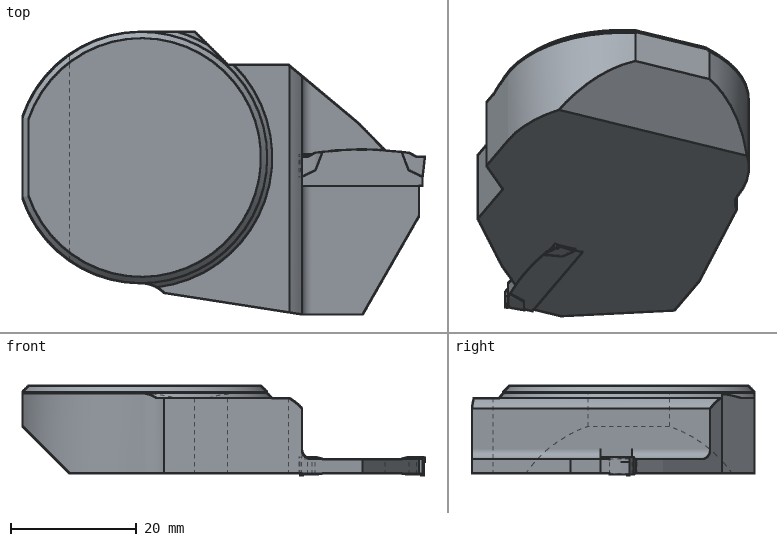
import cadquery as cq
import math


head_height = 14.0
head_radius = 20.0
rim_chamfer = 1.0
rim_land = 0.2
flare_width = 0.8
base_radius = 20.05
flat_x = -18.97
relief_height = 7.5

block_height = 12.0
block_face_x = 25.55
block_back_y = 14.8
edge_round_width = 2.0
edge_round_drop = 1.63
edge_round_radius = 8.0
front_y = -25.0
neck_radius = 5.0
neck_x = 3.6
back_corner_x = 23.35
shoulder_sum = 28.5

blade_thickness = 2.3
blade_fillet = 1.55
blade_end_x = 44.2
blade_end_y = -9.3
blade_front_x = 35.2
blade_kink = (34.5, 5.5)
blade_back_tip = (39.5, 0.4)
back_slope = (blade_kink[1] - block_back_y) / (blade_kink[0] - back_corner_x)
slanted_face_y = block_back_y + back_slope * (block_face_x - back_corner_x)

insert_center_x = 35.1
insert_half_length = 10.03
tip_clearance = 0.15
tip_edge_depth = 0.8
insert_body_half_length = insert_half_length - tip_clearance
insert_base_half_length = 9.65
insert_base_y = -4.5
insert_crown_y = 1.3
crown_end = (7.5, 0.75)
tip_start = 8.7
tip_y = 0.13
end_bend_y = -3.1
pad_rise = 0.33
pad_drop = 0.18
pad_start = 6.15
pad_ramp = 1.25
pad_inner_y = -2.0
land_width = 0.35
land_drop = 0.1
lip_drop = 0.33
lip_length = 0.5
lip_width = 0.4
seat_relief_x = 27.0
seat_relief_y = 0.5


def holder_outline():
    """Plan outline of the head and block, with a full base circle under the head."""
    neck_y = -base_radius - neck_radius + math.sqrt(neck_radius**2 - neck_x**2)
    half_angle = math.asin(neck_x / neck_radius) / 2
    neck_mid = (
        neck_radius * math.sin(half_angle),
        -base_radius - neck_radius * (1 - math.cos(half_angle)),
    )
    block = (
        cq.Workplane("XY")
        .moveTo(0, base_radius)
        .lineTo(shoulder_sum - base_radius, base_radius)
        .lineTo(shoulder_sum - block_back_y, block_back_y)
        .lineTo(block_face_x, block_back_y)
        .lineTo(block_face_x, front_y)
        .lineTo(neck_x, neck_y)
        .threePointArc(neck_mid, (0, -base_radius))
        .close()
        .extrude(head_height)
    )
    return block.union(cq.Workplane("XY").circle(base_radius).extrude(head_height))


def stepped_height():
    """Block-high slab with the chamfered, flared head standing on it."""
    land_top = head_height - rim_chamfer
    land_bottom = land_top - rim_land
    slab = (
        cq.Workplane("XZ")
        .moveTo(-2 * base_radius, 0)
        .lineTo(block_face_x, 0)
        .lineTo(block_face_x, block_height - edge_round_drop)
        .radiusArc((block_face_x - edge_round_width, block_height), -edge_round_radius)
        .lineTo(-2 * base_radius, block_height)
        .close()
        .extrude(2 * base_radius, both=True)
    )
    head = (
        cq.Workplane("XZ")
        .moveTo(0, 0)
        .lineTo(head_radius, 0)
        .lineTo(head_radius + flare_width, land_bottom - flare_width)
        .lineTo(head_radius, land_bottom)
        .lineTo(head_radius, land_top)
        .lineTo(head_radius - rim_chamfer, head_height)
        .lineTo(0, head_height)
        .close()
        .revolve(360, (0, 0, 0), (0, 1, 0))
    )
    return slab.union(head)


def blade():
    """Thin plate in front of the block, with a fillet running up the block face."""
    plate_outline = [
        (block_face_x, front_y),
        (blade_front_x, front_y),
        (blade_end_x, blade_end_y),
        (blade_end_x, insert_base_y),
        blade_back_tip,
        blade_kink,
        (block_face_x, slanted_face_y),
    ]
    section = (
        cq.Workplane("XZ")
        .moveTo(block_face_x, 0)
        .lineTo(blade_end_x, 0)
        .lineTo(blade_end_x, blade_thickness)
        .lineTo(block_face_x + blade_fillet, blade_thickness)
        .radiusArc((block_face_x, blade_thickness + blade_fillet), blade_fillet)
        .close()
        .extrude(-front_y, both=True)
    )
    return section.intersect(cq.Workplane("XY").polyline(plate_outline).close().extrude(block_height))


def back_corner_cut():
    """Wedge that carries the slanted back edge of the blade up through the block."""
    corners = [
        (back_corner_x, block_back_y),
        (block_face_x, slanted_face_y),
        (block_face_x, block_back_y),
    ]
    return cq.Workplane("XY").polyline(corners).close().extrude(block_height)


def head_flat_cut():
    """Vertical flat on the head and the 45 degree relief below it."""
    flat_edge_z = head_height - rim_chamfer
    outer_x = -2 * base_radius
    return (
        cq.Workplane("XZ")
        .moveTo(flat_x + relief_height, 0)
        .lineTo(flat_x, relief_height)
        .lineTo(flat_x, flat_edge_z)
        .lineTo(flat_x + rim_chamfer, head_height)
        .lineTo(outer_x, head_height)
        .lineTo(outer_x, 0)
        .close()
        .extrude(2 * base_radius, both=True)
    )


def insert_prism(bottom, top, half_length):
    """Prism on the insert's plan outline, with an arched back edge and tapered ends."""

    def at(offset, y):
        return (insert_center_x + offset, y)

    return (
        cq.Workplane("XY", origin=(0, 0, bottom))
        .moveTo(*at(-insert_base_half_length, insert_base_y))
        .lineTo(*at(insert_base_half_length, insert_base_y))
        .lineTo(*at(insert_base_half_length, end_bend_y))
        .lineTo(*at(half_length, tip_y))
        .lineTo(*at(tip_start, tip_y))
        .lineTo(*at(*crown_end))
        .threePointArc(at(0, insert_crown_y), at(-crown_end[0], crown_end[1]))
        .lineTo(*at(-tip_start, tip_y))
        .lineTo(*at(-half_length, tip_y))
        .lineTo(*at(-insert_base_half_length, end_bend_y))
        .close()
        .extrude(top - bottom)
    )


def tip_pads(side):
    """Raised pads above and below one insert tip; side is +1 or -1 along X."""

    def x(offset):
        return insert_center_x + side * offset

    pad_top = blade_thickness + pad_rise
    edge_bottom = pad_top - tip_edge_depth
    section = (
        cq.Workplane("XZ")
        .moveTo(x(pad_start), 0)
        .lineTo(x(pad_start), blade_thickness)
        .lineTo(x(pad_start + pad_ramp), pad_top)
        .lineTo(x(insert_half_length - land_width), pad_top)
        .lineTo(x(insert_half_length), pad_top - land_drop)
        .lineTo(x(insert_half_length), edge_bottom)
        .lineTo(x(insert_body_half_length), edge_bottom)
        .lineTo(x(insert_body_half_length), -pad_drop)
        .lineTo(x(pad_start + pad_ramp), -pad_drop)
        .close()
        .extrude(-insert_base_y, both=True)
    )
    pad_outline = [
        (x(pad_start), insert_crown_y),
        (x(pad_start + pad_ramp), pad_inner_y),
        (x(insert_base_half_length), end_bend_y),
        (x(insert_half_length), end_bend_y),
        (x(insert_half_length), insert_crown_y),
    ]
    pad_height = pad_top + pad_drop
    plan = cq.Workplane("XY", origin=(0, 0, -pad_drop)).polyline(pad_outline).close().extrude(pad_height)
    lip_corner = (x(insert_body_half_length - lip_length / 2), tip_y - lip_width / 2)
    lip = (
        cq.Workplane("XY", origin=(0, 0, -lip_drop))
        .center(*lip_corner)
        .rect(lip_length, lip_width)
        .extrude(lip_drop)
    )
    trim = insert_prism(-lip_drop, pad_top, insert_half_length)
    return section.intersect(plan).union(lip).intersect(trim)


def insert_seat():
    """Pocket for the insert, open above the blade and relieved at its inner back corner."""
    pocket_top = blade_thickness + pad_rise
    fillet_top = blade_thickness + blade_fillet
    inner_x = insert_center_x - insert_half_length
    pocket = insert_prism(0, pocket_top, insert_half_length)
    relief_size = (seat_relief_x - inner_x, seat_relief_y - end_bend_y, pocket_top)
    relief = cq.Workplane("XY").box(*relief_size, centered=False).translate((inner_x, end_bend_y, 0))
    clearance_size = (blade_fillet, seat_relief_y - insert_base_y, fillet_top)
    clearance = (
        cq.Workplane("XY")
        .box(*clearance_size, centered=False)
        .translate((block_face_x, insert_base_y, 0))
    )
    return pocket.union(relief).union(clearance)


holder = holder_outline().intersect(stepped_height())
holder = holder.cut(back_corner_cut())
holder = holder.union(blade())
holder = holder.cut(head_flat_cut())
holder = holder.cut(insert_seat())

insert = insert_prism(0, blade_thickness, insert_body_half_length)
for side in (-1, 1):
    insert = insert.union(tip_pads(side))

result = cq.Compound.makeCompound([holder.val(), insert.val()])